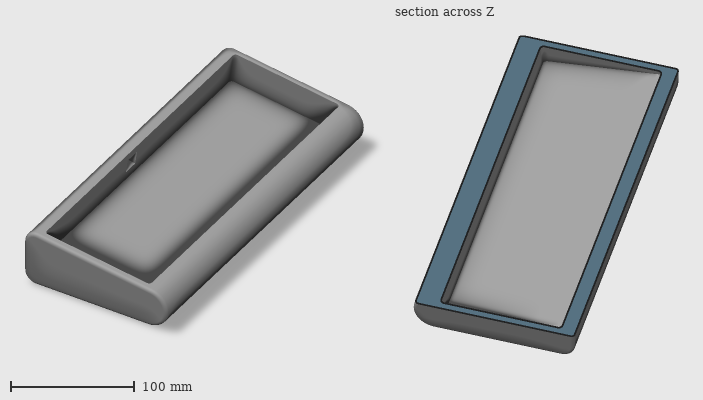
import cadquery as cq
import math

width = 135.5
length = 305.0
height = 50.0

back_radius = 11.0
front_radius = 17.7
end_fillet = 3.0

pocket_start = 16.0
pocket_end = 115.5
end_wall = 6.7
pocket_depth = 28.0
pocket_corner_radius = 3.0

slot_width = 14.3
slot_height = 12.2
slot_bottom = 32.0
slot_center_y = -10.0
slot_reach = 21.5

back_center = (back_radius, height - back_radius)
front_center = (width - front_radius, front_radius)
run = front_center[0] - back_center[0]
drop = back_center[1] - front_center[1]
slope = math.atan2(drop, run) - math.asin((front_radius - back_radius) / math.hypot(run, drop))


def arc_point(center, radius, angle):
    """Point on a profile arc, angle measured from +X towards +Z."""
    return (center[0] + radius * math.cos(angle), center[1] + radius * math.sin(angle))


top_normal = math.pi / 2 - slope
top_back = arc_point(back_center, back_radius, top_normal)
top_front = arc_point(front_center, front_radius, top_normal)
upper_mid = arc_point(back_center, back_radius, (top_normal + math.pi) / 2)
lower_mid = arc_point((back_radius, back_radius), back_radius, math.radians(225))


def make_body():
    profile = (
        cq.Workplane("XZ", origin=(0, length / 2, 0))
        .moveTo(back_radius, 0)
        .lineTo(front_center[0], 0)
        .threePointArc((width, front_radius), top_front)
        .lineTo(*top_back)
        .threePointArc(upper_mid, (0, back_center[1]))
        .lineTo(0, back_radius)
        .threePointArc(lower_mid, (back_radius, 0))
        .close()
    )
    return profile.extrude(length).faces("<Y or >Y").edges().fillet(end_fillet)


def make_pocket():
    middle_x = (pocket_start + pocket_end) / 2
    middle_z = top_back[1] - (middle_x - top_back[0]) * math.tan(slope)
    mouth_plane = cq.Plane(
        origin=(middle_x, 0, middle_z),
        xDir=(math.cos(slope), 0, -math.sin(slope)),
        normal=(math.sin(slope), 0, math.cos(slope)),
    )
    mouth_length = (pocket_end - pocket_start) / math.cos(slope)
    return (
        cq.Workplane(mouth_plane)
        .rect(mouth_length, length - 2 * end_wall)
        .extrude(-pocket_depth)
        .edges(cq.selectors.ParallelDirSelector(mouth_plane.zDir))
        .fillet(pocket_corner_radius)
    )


def make_slot():
    fall = slot_reach * math.tan(slope)
    return (
        cq.Workplane("XZ", origin=(0, slot_center_y + slot_width / 2, 0))
        .moveTo(0, slot_bottom)
        .lineTo(slot_reach, slot_bottom - fall)
        .lineTo(slot_reach, slot_bottom - fall + slot_height)
        .lineTo(0, slot_bottom + slot_height)
        .close()
        .extrude(slot_width)
    )


result = make_body().cut(make_pocket()).cut(make_slot())